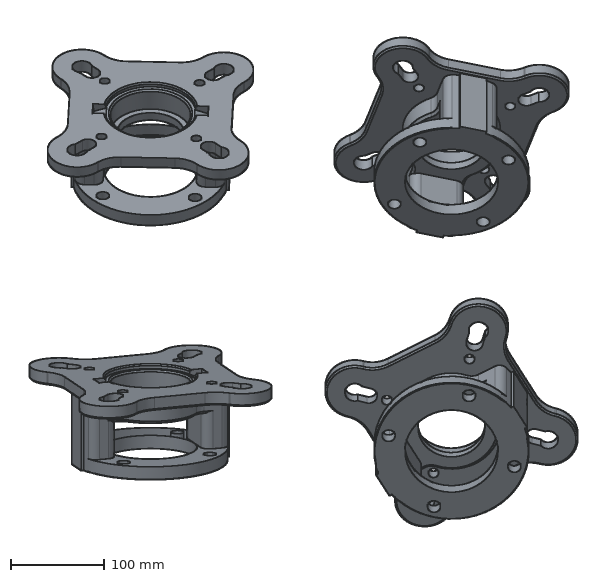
import cadquery as cq
import math

span = 279.0
total_height = 94.0
plate_thickness = 14.5
arm_radius = 31.8
plate_half_side = 88.0
arm_blend_radius = 33.5
plate_chamfer = 2.0

keyhole_radius = 10.5
keyhole_slot_width = 17.9
keyhole_slot_end = 83.2
plate_hole_offset = 72.0
plate_hole_diameter = 11.0

hub_radius = 52.5
hub_depth = 40.0
hub_chamfer = 3.0
leg_blend_radius = 14.0

recess_radius = 49.0
recess_depth = 5.0
recess_chamfer = 1.7
bore_radius = 43.0
bore_depth = 30.0
opening_radius = 36.0
bore_chamfer = 2.0

notch_width = 17.0
notch_inner = 47.5
notch_outer = 62.2
notch_depth = 9.8
notch_wall_lean = 1.0

ring_radius = 83.2
ring_opening_radius = 50.0
ring_thickness = 14.8
ring_chamfer = 0.8
ring_hole_offset = 70.0
ring_hole_diameter = 14.0

leg_width = 60.0
leg_inner = ring_opening_radius
leg_corner_radius = 10.0
pad_width = 29.5
pad_outer = 84.8

leg_angles = (45, 225)
arm_angles = (0, 90, 180, 270)
plate_bottom = total_height - plate_thickness
hub_bottom = total_height - hub_depth
arm_centre = span / 2 - arm_radius


def around(shape, angles):
    """Union of copies of a shape turned about the Z axis."""
    turned = cq.Workplane("XY")
    for angle in angles:
        turned = turned.union(shape.rotate((0, 0, 0), (0, 0, 1), angle))
    return turned


def disc(radius, bottom, top):
    return cq.Workplane("XY").workplane(offset=bottom).circle(radius).extrude(top - bottom)


def box_between(x_start, x_end, width, bottom, top):
    """Box centred on Y, spanning the given X and Z ranges."""
    size = (x_end - x_start, width, top - bottom)
    return cq.Workplane("XY").box(*size, centered=(False, True, False)).translate((x_start, 0, bottom))


def vertical_edges_within(body, reach):
    """Vertical edges no further than reach from the Z axis along X and along Y."""
    nearby = cq.selectors.BoxSelector((-reach, -reach, 0), (reach, reach, total_height))
    return body.edges("|Z").edges(nearby)


def plate():
    square = box_between(-plate_half_side, plate_half_side, 2 * plate_half_side, plate_bottom, total_height)
    arm = box_between(0, arm_centre, 2 * arm_radius, plate_bottom, total_height)
    body = square.rotate((0, 0, 0), (0, 0, 1), 45).union(around(arm, arm_angles)).clean()
    corner_distance = plate_half_side * math.sqrt(2) - arm_radius
    reach = (corner_distance + arm_centre) / 2
    body = vertical_edges_within(body, reach).fillet(arm_blend_radius)
    arm_end = disc(arm_radius, plate_bottom, total_height).translate((arm_centre, 0, 0))
    body = body.union(around(arm_end, arm_angles)).clean()
    return body.faces("<Z").edges().chamfer(plate_chamfer)


def hub():
    """Round hub reaching into both legs, blended to their sides."""
    reach = leg_inner + leg_corner_radius
    web = box_between(-reach, reach, leg_width, hub_bottom, plate_bottom)
    body = disc(hub_radius, hub_bottom, plate_bottom).union(web)
    body = vertical_edges_within(body, hub_radius).fillet(leg_blend_radius)
    return body.faces("<Z").edges().chamfer(hub_chamfer).rotate((0, 0, 0), (0, 0, 1), leg_angles[0])


def leg():
    """Leg along +X: flat inside, round outside, with a flat pad."""
    blank = box_between(leg_inner, pad_outer, leg_width, 0, plate_bottom)
    body = blank.intersect(disc(ring_radius, 0, plate_bottom))
    body = body.edges("|Z").fillet(leg_corner_radius)
    pad = box_between(leg_inner + leg_corner_radius, pad_outer, pad_width, 0, plate_bottom)
    return body.union(pad)


def base_ring():
    body = disc(ring_radius, 0, ring_thickness).faces("<Z").edges().chamfer(ring_chamfer)
    holes = cq.Workplane("XY").polarArray(ring_hole_offset, 0, 360, len(arm_angles))
    holes = holes.circle(ring_hole_diameter / 2).extrude(ring_thickness)
    return body.cut(disc(ring_opening_radius, 0, ring_thickness)).cut(holes)


def stepped_bore():
    """Everything turned out of the plate and hub, as one revolved profile."""
    recess_floor = total_height - recess_depth
    bore_floor = total_height - bore_depth
    profile = [
        (0, total_height),
        (recess_radius + recess_chamfer, total_height),
        (recess_radius, total_height - recess_chamfer),
        (recess_radius, recess_floor),
        (bore_radius + bore_chamfer, recess_floor),
        (bore_radius, recess_floor - bore_chamfer),
        (bore_radius, bore_floor),
        (opening_radius, bore_floor),
        (opening_radius, hub_bottom),
        (0, hub_bottom),
    ]
    return cq.Workplane("XZ").polyline(profile).close().revolve(360, (0, 0, 0), (0, 1, 0))


def notch():
    """Cutter for a rim notch along +X, its floor falling outwards from the recess floor."""
    profile = [
        (notch_inner, total_height),
        (notch_outer, total_height),
        (notch_outer - notch_wall_lean, total_height - notch_depth),
        (notch_inner, total_height - recess_depth),
    ]
    return cq.Workplane("XZ").polyline(profile).close().extrude(notch_width / 2, both=True)


def arm_openings():
    """Keyhole slot and screw hole of the arm along +X."""
    slot_radius = keyhole_slot_width / 2
    slot_start = keyhole_slot_end + slot_radius
    keyhole = (
        disc(keyhole_radius, plate_bottom, total_height).translate((arm_centre, 0, 0))
        .union(disc(slot_radius, plate_bottom, total_height).translate((slot_start, 0, 0)))
        .union(box_between(slot_start, arm_centre, keyhole_slot_width, plate_bottom, total_height))
    )
    screw_hole = disc(plate_hole_diameter / 2, plate_bottom, total_height)
    return keyhole.union(screw_hole.translate((plate_hole_offset, 0, 0)))


result = plate().union(hub()).union(base_ring()).union(around(leg(), leg_angles))
result = result.cut(stepped_bore())
result = result.cut(around(notch(), leg_angles))
result = result.cut(around(arm_openings(), arm_angles))